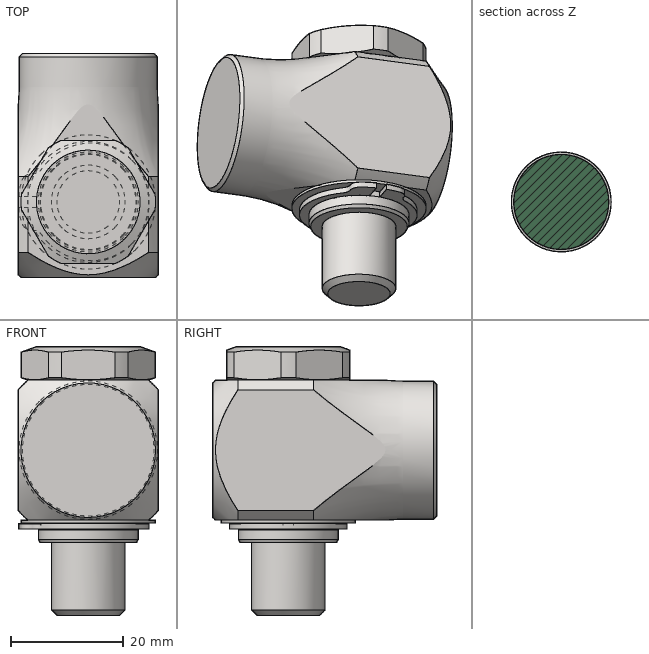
import cadquery as cq
import math


body_width = 25.0
half_width = body_width / 2
body_corner_radius = 16.5
front_y = -13.5
front_face_diameter = 24.0
rear_y = 26.5
collar_diameter = 24.7
collar_length = 6.0
collar_chamfer = 0.6
flare_end_y = 4.5

head_across_flats = 22.0
head_corner_diameter = 24.0
head_height = 6.0
head_top_diameter = 18.5
head_bottom_diameter = 21.6
head_bevel_angle = 20.0

washer_diameter = 24.0
washer_thickness = 0.5
groove_height = 1.2
clip_thickness = 1.0
shoulder_diameter = 17.85
shoulder_height = 2.3
shoulder_bevel_height = 0.6
shoulder_bevel_width = 0.3
stem_diameter = 13.16
stem_length = 13.0
stem_chamfer = 1.0

clip_diameter = 21.0
clip_offset_x = 0.4
groove_diameter = 17.0
clip_gap = 1.9
lug_end_radius = 12.45
lug_half_width = 5.05
lug_root_radius = 1.85
lug_end_round = 1.95

washer_bottom_z = -half_width - washer_thickness
groove_bottom_z = washer_bottom_z - groove_height
clip_bottom_z = groove_bottom_z + (groove_height - clip_thickness) / 2
shoulder_bottom_z = groove_bottom_z - shoulder_height


def disc(diameter, bottom_z, height):
    return cq.Workplane("XY").workplane(offset=bottom_z).circle(diameter / 2).extrude(height)


def make_body():
    """Turned profile about Y, trimmed to a square section."""
    collar_radius = collar_diameter / 2
    flare_start_y = rear_y - collar_length
    flare_length = flare_start_y - flare_end_y
    flare_rise = body_corner_radius - collar_radius
    flare_radius = (flare_length**2 + flare_rise**2) / (2 * flare_rise)
    half_angle = math.asin(flare_length / flare_radius) / 2
    flare_middle = (
        collar_radius + flare_radius * (1 - math.cos(half_angle)),
        flare_start_y - flare_radius * math.sin(half_angle),
    )
    front_radius = front_face_diameter / 2
    cone_end_y = front_y + body_corner_radius - front_radius
    turned = (
        cq.Workplane("XY")
        .moveTo(0, front_y)
        .lineTo(front_radius, front_y)
        .lineTo(body_corner_radius, cone_end_y)
        .lineTo(body_corner_radius, flare_end_y)
        .threePointArc(flare_middle, (collar_radius, flare_start_y))
        .lineTo(collar_radius, rear_y - collar_chamfer)
        .lineTo(collar_radius - collar_chamfer, rear_y)
        .lineTo(0, rear_y)
        .close()
        .revolve(360, (0, 0, 0), (0, 1, 0))
    )
    square_bar = cq.Workplane("XY").box(body_width, rear_y - front_y, body_width)
    return turned.intersect(square_bar.translate((0, (rear_y + front_y) / 2, 0)))


def make_head():
    """Hexagon with flats on +Y and -Y, turned at its corners and bevelled at both ends."""
    bevel_slope = math.tan(math.radians(head_bevel_angle))
    corner_radius = head_corner_diameter / 2
    top_radius = head_top_diameter / 2
    bottom_radius = head_bottom_diameter / 2
    bottom_z = half_width
    top_z = bottom_z + head_height
    turned = (
        cq.Workplane("XZ")
        .moveTo(0, bottom_z)
        .lineTo(bottom_radius, bottom_z)
        .lineTo(corner_radius, bottom_z + (corner_radius - bottom_radius) * bevel_slope)
        .lineTo(corner_radius, top_z - (corner_radius - top_radius) * bevel_slope)
        .lineTo(top_radius, top_z)
        .lineTo(0, top_z)
        .close()
        .revolve(360, (0, 0, 0), (0, 1, 0))
    )
    point_diameter = head_across_flats / math.cos(math.pi / 6)
    hexagon = cq.Workplane("XY").workplane(offset=bottom_z).polygon(6, point_diameter).extrude(head_height)
    return hexagon.intersect(turned)


def clip_bar(width):
    """Bar as thick as the clip, from the bolt axis out toward -X."""
    return (
        cq.Workplane("XY")
        .workplane(offset=clip_bottom_z)
        .center(-lug_end_radius / 2, 0)
        .rect(lug_end_radius, width)
        .extrude(clip_thickness)
    )


def round_corners(solid, corner_x, radius):
    """Fillet the two upright edges at corner_x on the outer sides of the lugs."""
    middle_z = clip_bottom_z + clip_thickness / 2
    for side in (-1, 1):
        corner = (corner_x, side * lug_half_width, middle_z)
        solid = solid.edges("|Z").edges(cq.selectors.NearestToPointSelector(corner)).fillet(radius)
    return solid


def make_clip():
    """Eccentric ring with two lugs either side of a gap."""
    ring = disc(clip_diameter, clip_bottom_z, clip_thickness).translate((clip_offset_x, 0, 0))
    lug_end_disc = disc(2 * lug_end_radius, clip_bottom_z, clip_thickness)
    lug = clip_bar(2 * lug_half_width).intersect(lug_end_disc)
    lug_end_x = -math.sqrt(lug_end_radius**2 - lug_half_width**2)
    lug = round_corners(lug, lug_end_x, lug_end_round)
    clip = ring.union(lug)
    root_x = clip_offset_x - math.sqrt((clip_diameter / 2) ** 2 - lug_half_width**2)
    clip = round_corners(clip, root_x, lug_root_radius)
    return clip.cut(clip_bar(clip_gap))


def make_stem():
    """Washer, clip groove, shoulder and chamfered stem."""
    washer = disc(washer_diameter, washer_bottom_z, washer_thickness)
    groove = disc(groove_diameter, groove_bottom_z, groove_height)
    shoulder = (
        disc(shoulder_diameter, shoulder_bottom_z, shoulder_height)
        .faces("<Z")
        .edges()
        .chamfer(shoulder_bevel_height, shoulder_bevel_width)
    )
    stem = (
        disc(stem_diameter, shoulder_bottom_z - stem_length, stem_length)
        .faces("<Z")
        .edges()
        .chamfer(stem_chamfer)
    )
    return washer.union(groove).union(shoulder).union(stem)


result = make_body().union(make_head()).union(make_stem()).union(make_clip())